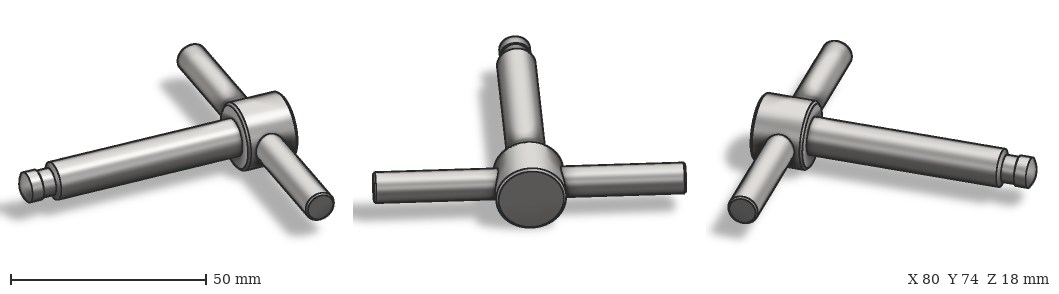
import cadquery as cq

bar_length = 80
bar_diameter = 8
bar_chamfer = 0.5

head_diameter = 18.0
head_length = 14.0
head_chamfer = 0.6
head_back_y = 8

shaft_diameter = 10.0
shaft_length = 51.8
shaft_taper_length = 0.8
neck_diameter = 7.2
neck_length = 3.6
tip_diameter = 8
tip_length = 3.2
total_length = 74.0

dome_height = total_length - head_length - shaft_length - neck_length - tip_length


def cylinder_toward_front(start_y, diameter, length):
    """Cylinder on the Y axis, running from start_y toward -Y."""
    return cq.Workplane("XZ", origin=(0, start_y, 0)).circle(diameter / 2).extrude(length)


def make_dome(base_y):
    """Spherical cap on the tip, revolved about the Y axis."""
    radius = tip_diameter / 2
    sphere_radius = (radius**2 + dome_height**2) / (2 * dome_height)
    return (
        cq.Workplane("XY")
        .moveTo(0, base_y)
        .lineTo(radius, base_y)
        .radiusArc((0, base_y - dome_height), sphere_radius)
        .close()
        .revolve(360, (0, 0, 0), (0, 1, 0))
    )


def make_shaft_taper(base_y):
    """Cone from the shaft diameter down to the neck diameter."""
    return (
        cq.Workplane("XY")
        .moveTo(0, base_y)
        .lineTo(shaft_diameter / 2, base_y)
        .lineTo(neck_diameter / 2, base_y - shaft_taper_length)
        .lineTo(0, base_y - shaft_taper_length)
        .close()
        .revolve(360, (0, 0, 0), (0, 1, 0))
    )


shaft_start_y = head_back_y - head_length
neck_start_y = shaft_start_y - shaft_length
tip_start_y = neck_start_y - neck_length
dome_base_y = tip_start_y - tip_length

bar = (
    cq.Workplane("YZ")
    .circle(bar_diameter / 2)
    .extrude(bar_length / 2, both=True)
    .faces("<X or >X")
    .chamfer(bar_chamfer)
)
head = cylinder_toward_front(head_back_y, head_diameter, head_length)
head = head.faces("<Y or >Y").chamfer(head_chamfer)
shaft = cylinder_toward_front(shaft_start_y, shaft_diameter, shaft_length - shaft_taper_length)
shaft = shaft.union(make_shaft_taper(neck_start_y + shaft_taper_length))
neck = cylinder_toward_front(neck_start_y, neck_diameter, neck_length)
tip = cylinder_toward_front(tip_start_y, tip_diameter, tip_length)

result = head.union(bar).union(shaft).union(neck).union(tip).union(make_dome(dome_base_y))